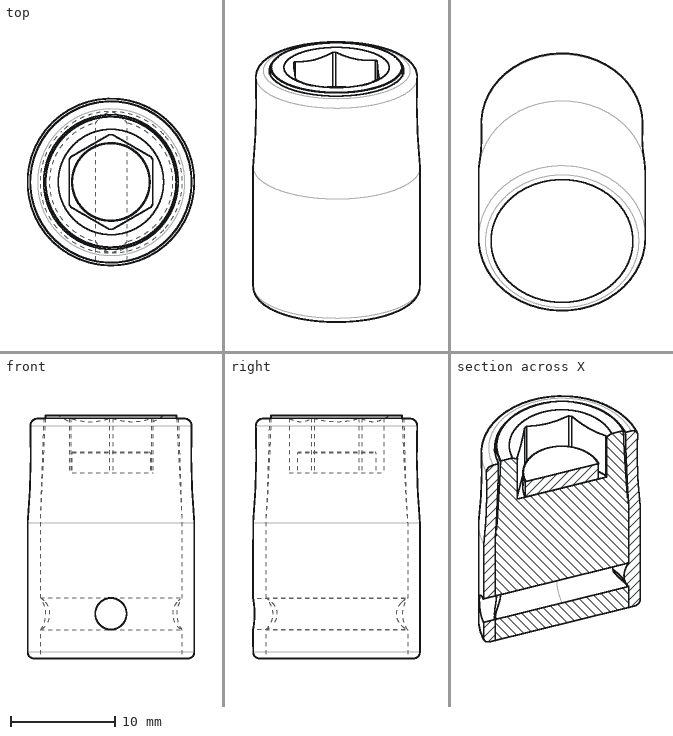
import cadquery as cq
import math

sleeve_height = 23.0
sleeve_radius = 8.0
flank_foot_z = 13.0
flank_top_radius = 7.74
flank_mid_radius = 7.73
top_rounding = 0.7
bottom_rounding = 0.65

bore_radius = 6.8
sleeve_mouth_radius = 6.45

hole_radius = 1.5
hole_z = 4.3
bead_half_height = 1.55
bead_crest_radius = 6.3
groove_bottom_radius = 5.9

core_height = 23.3
core_top_radius = 6.28
core_edge_chamfer = 0.04
hex_across_flats = 8.0
hex_turn = 30.0
hex_corner_radius = 4.53
hex_depth = 5.5
mouth_radius = 5.05
mouth_half_angle = math.radians(60)

magnet_radius = 3.75
magnet_top_depth = 3.5
magnet_chamfer = 0.06

hex_floor_z = core_height - hex_depth
bead_bottom_z = hole_z - bead_half_height
bead_top_z = hole_z + bead_half_height


def revolve_about_z(profile):
    return profile.revolve(360, (0, 0, 0), (0, 1, 0))


def make_sleeve():
    flank_top_z = sleeve_height - top_rounding
    flank_mid_z = (flank_foot_z + flank_top_z) / 2
    profile = (
        cq.Workplane("XZ")
        .moveTo(bore_radius, 0)
        .lineTo(sleeve_radius - bottom_rounding, 0)
        .radiusArc((sleeve_radius, bottom_rounding), -bottom_rounding)
        .lineTo(sleeve_radius, flank_foot_z)
        .threePointArc((flank_mid_radius, flank_mid_z), (flank_top_radius, flank_top_z))
        .radiusArc((flank_top_radius - top_rounding, sleeve_height), -top_rounding)
        .lineTo(sleeve_mouth_radius, sleeve_height)
        .lineTo(bore_radius, flank_foot_z)
        .lineTo(bore_radius, bead_top_z)
        .threePointArc((bead_crest_radius, hole_z), (bore_radius, bead_bottom_z))
        .close()
    )
    hole = cq.Workplane("XZ").center(0, hole_z).circle(hole_radius).extrude(sleeve_radius)
    return revolve_about_z(profile).cut(hole)


def make_core_blank():
    profile = (
        cq.Workplane("XZ")
        .lineTo(bore_radius, 0)
        .lineTo(bore_radius, bead_bottom_z)
        .threePointArc((groove_bottom_radius, hole_z), (bore_radius, bead_top_z))
        .lineTo(bore_radius, flank_foot_z)
        .lineTo(core_top_radius, core_height - core_edge_chamfer)
        .lineTo(core_top_radius - core_edge_chamfer, core_height)
        .lineTo(0, core_height)
        .close()
    )
    return revolve_about_z(profile)


def make_hex_socket():
    hex_across_corners = hex_across_flats / math.cos(math.pi / 6)
    floor = cq.Workplane("XY", origin=(0, 0, hex_floor_z))
    prism = floor.polygon(6, hex_across_corners).extrude(hex_depth)
    corner_limit = floor.circle(hex_corner_radius).extrude(hex_depth)
    return prism.rotate((0, 0, 0), (0, 0, 1), hex_turn).intersect(corner_limit)


def make_mouth():
    cone_depth = mouth_radius / math.tan(mouth_half_angle)
    profile = (
        cq.Workplane("XZ")
        .moveTo(0, core_height - cone_depth)
        .lineTo(mouth_radius, core_height)
        .lineTo(0, core_height)
        .close()
    )
    return revolve_about_z(profile)


def make_core():
    hole = cq.Workplane("XZ").center(0, hole_z).circle(hole_radius).extrude(sleeve_radius, both=True)
    return make_core_blank().cut(make_hex_socket()).cut(make_mouth()).cut(hole)


def make_magnet():
    return (
        cq.Workplane("XY", origin=(0, 0, hex_floor_z))
        .circle(magnet_radius)
        .extrude(hex_depth - magnet_top_depth)
        .faces(">Z")
        .chamfer(magnet_chamfer)
    )


sleeve = make_sleeve()
core = make_core()
magnet = make_magnet()
result = cq.Compound.makeCompound([sleeve.val(), core.val(), magnet.val()])